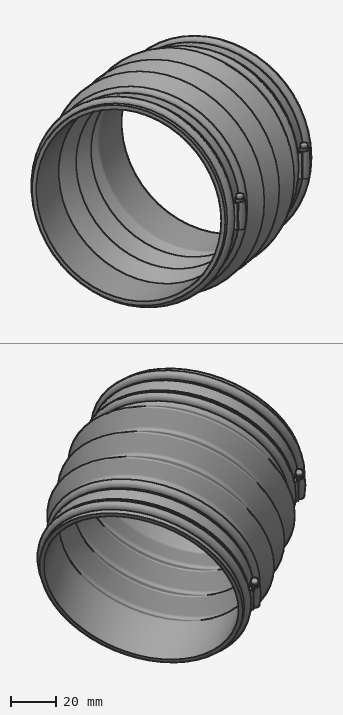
import cadquery as cq
import math

length = 90.0
cuff_outer_radius = 94.0 / 2
bore_radius = 90.0 / 2
wall = cuff_outer_radius - bore_radius
mid_wall_radius = (cuff_outer_radius + bore_radius) / 2

crest_radius = 52.5
flank_angle = math.radians(43.6)
fold_pitch = 15.7
fold_count = 3
tight_round = 0.8
wide_round = 1.9
cuff_round = 1.9

bead_radius = 2.3
end_bead_y = 40.5
inner_bead_y = 27.1
band_y = (end_bead_y + inner_bead_y) / 2
band_width = 6.0
band_outer_radius = 47.7

saddle_width = 7.5
saddle_outer_x = 49.5
barrel_axis_radius = 49.0
barrel_radius = 2.7
barrel_length = 12.6
collar_radius = 2.2
collar_top_z = 7.7
screw_head_radius = 1.7
screw_head_top_z = 9.4
screw_head_round = 0.5

crest_corner = crest_radius + tight_round * (1 / math.cos(flank_angle) - 1)
root_corner = crest_corner - fold_pitch / 2 * math.tan(flank_angle)
radial_wall = wall / math.cos(flank_angle)


def wall_corners(cuff_radius, radial_shift, crest_round, root_round):
    """List (radius, y, rounding) along one face of the wall, from -Y to +Y."""
    crest = crest_corner - radial_shift
    root = root_corner - radial_shift
    last_crest_y = (fold_count - 1) * fold_pitch / 2
    flank_start_y = last_crest_y + (crest - cuff_radius) / math.tan(flank_angle)
    corners = [(cuff_radius, -length / 2, 0), (cuff_radius, -flank_start_y, cuff_round)]
    for fold in range(fold_count):
        crest_y = fold * fold_pitch - last_crest_y
        corners.append((crest, crest_y, crest_round))
        if fold < fold_count - 1:
            corners.append((root, crest_y + fold_pitch / 2, root_round))
    corners.append((cuff_radius, flank_start_y, cuff_round))
    corners.append((cuff_radius, length / 2, 0))
    return corners


def rounded_profile(corners):
    """Draw a closed outline, replacing each rounded corner with a tangent arc."""
    profile = cq.Workplane("XY").moveTo(*corners[0][:2])
    for index in range(1, len(corners)):
        radius, y, rounding = corners[index]
        if rounding == 0:
            profile = profile.lineTo(radius, y)
            continue
        corner = cq.Vector(radius, y)
        before = (cq.Vector(*corners[index - 1][:2]) - corner).normalized()
        after = (cq.Vector(*corners[index + 1][:2]) - corner).normalized()
        half_angle = before.getAngle(after) / 2
        setback = rounding / math.tan(half_angle)
        bisector = (before + after).normalized()
        arc_start = corner + before * setback
        arc_middle = corner + bisector * (rounding / math.sin(half_angle) - rounding)
        arc_end = corner + after * setback
        profile = profile.lineTo(arc_start.x, arc_start.y)
        profile = profile.threePointArc((arc_middle.x, arc_middle.y), (arc_end.x, arc_end.y))
    return profile.close()


def bellows_sleeve():
    outer_face = wall_corners(cuff_outer_radius, 0, tight_round, wide_round)
    inner_face = wall_corners(bore_radius, radial_wall, wide_round, tight_round)
    profile = rounded_profile(outer_face + inner_face[::-1])
    return profile.revolve(360, (0, 0, 0), (0, 1, 0))


def bead(y):
    section = (
        cq.Workplane("XY")
        .moveTo(mid_wall_radius, y - bead_radius)
        .lineTo(cuff_outer_radius, y - bead_radius)
        .threePointArc(
            (cuff_outer_radius + bead_radius, y), (cuff_outer_radius, y + bead_radius)
        )
        .lineTo(mid_wall_radius, y + bead_radius)
        .close()
    )
    return section.revolve(360, (0, 0, 0), (0, 1, 0))


def clamp(y):
    band = (
        cq.Workplane("XZ", origin=(0, y + band_width / 2, 0))
        .circle(band_outer_radius)
        .circle(mid_wall_radius)
        .extrude(band_width)
    )
    saddle_depth = saddle_outer_x - mid_wall_radius
    saddle = cq.Workplane("XY").box(saddle_depth, saddle_width, barrel_length)
    saddle = saddle.translate((saddle_outer_x - saddle_depth / 2, y, 0))
    barrel_angle = 2 * math.degrees(math.asin(barrel_length / 2 / barrel_axis_radius))
    barrel = (
        cq.Workplane("XY")
        .center(barrel_axis_radius, y)
        .circle(barrel_radius)
        .revolve(barrel_angle, (-barrel_axis_radius, 0, 0), (-barrel_axis_radius, 1, 0))
        .rotate((0, 0, 0), (0, 1, 0), -barrel_angle / 2)
    )
    screw_base = cq.Workplane("XY", origin=(barrel_axis_radius, y, 0))
    collar = screw_base.circle(collar_radius).extrude(collar_top_z)
    screw_head = screw_base.circle(screw_head_radius).extrude(screw_head_top_z)
    screw_head = screw_head.faces(">Z").edges().fillet(screw_head_round)
    return band.union(saddle).union(barrel).union(collar).union(screw_head)


result = bellows_sleeve()
for side in (-1, 1):
    result = result.union(bead(side * end_bead_y))
    result = result.union(bead(side * inner_bead_y))
    result = result.union(clamp(side * band_y))